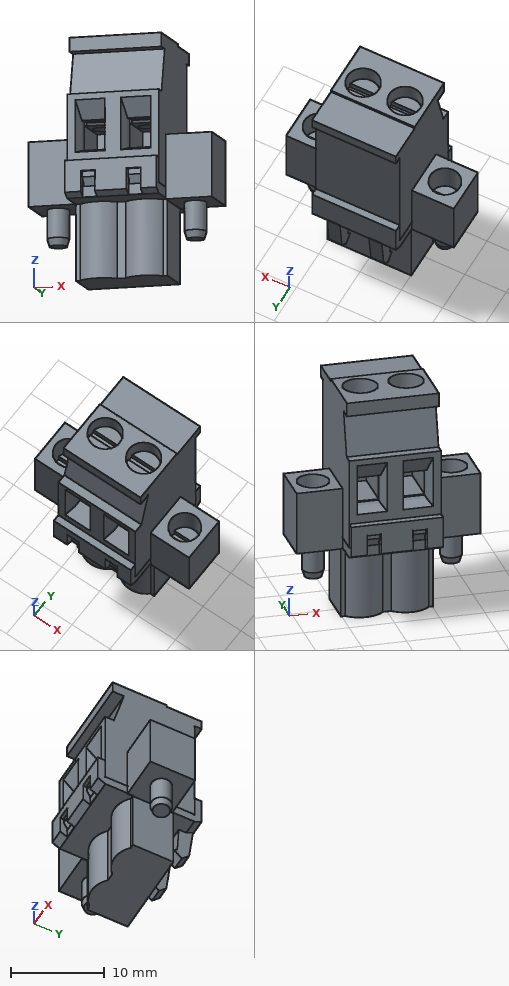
import cadquery as cq


OVERALL_WIDTH = 20.33
HEIGHT = 26
DEPTH = 12.6
PITCH = 5.07
POLES = 2
BODY_WIDTH = 10.17
HALF_WIDTH = BODY_WIDTH / 2
BACK_Y = DEPTH / 2
POLE_XS = [(i - (POLES - 1) / 2) * PITCH for i in range(POLES)]

LIP_WALL = 0.85
BASE_BOTTOM_Z = 8.32
TRAY_FLOOR_Z = 9.52
LIP_TOP_Z = 12.27
BASE_CHAMFER_RUN = 0.9
BASE_CHAMFER_RISE = 0.5
PLUG_BACK_Y = 2.85
PLUG_FLAT_Y = -2.05
BARREL_WIDTH = 4.13
BARREL_BULGE = 0.85
LIP_SLOT_WIDTH = 1.55
LIP_SLOT_TOP_Z = 11.08
LATCH_WIDTH = LIP_SLOT_WIDTH
LATCH_ROOT_OUTER = 0.08
LATCH_ROOT_INNER = 1.82
LATCH_SHOULDER = (0.55, 4.63)
LATCH_TIP = (1.45, 3.67)
LATCH_HOOK = (2.37, 4.5)
LATCH_NECK = (2.0, 4.95)

HOUSING_BACK_Y = BACK_Y - LIP_WALL
HOUSING_FRONT_Y = -HOUSING_BACK_Y
TOP_STEP = 0.25
TOP_STEP_FROM_BACK = 4.25
CAP_BOTTOM_Z = 24.47
CAP_FRONT_Y = -4.52
SLOPE_TOP_Y = -3.15
SLOPE_BOTTOM_Y = -4.37
LEDGE_Z = 19.65
NOSE_WIDTH = 1.4
NOSE_REACH = 0.47
NOSE_FACE_BOTTOM_Z = 10.45

FUNNEL_WIDTH = 3.3
FUNNEL_BOTTOM_Z = 13.29
FUNNEL_TOP_Z = 18.98
FUNNEL_DEPTH = 1.35
THROAT_WIDTH = 2.57
THROAT_BOTTOM_Z = 13.7
THROAT_TOP_Z = 16.98
THROAT_DEPTH = 0.85
THROAT_BACK_Y = HOUSING_FRONT_Y + FUNNEL_DEPTH + THROAT_DEPTH

TERMINAL_Y = -0.47
TERMINAL_HOLE_DIAMETER = 3.8
TERMINAL_HEAD_DIAMETER = 3.75
TERMINAL_HEAD_ROUND = 0.29
TERMINAL_HEAD_TOP_Z = 24.28
TERMINAL_HEAD_HEIGHT = 1.66
TERMINAL_SEAT_Z = TERMINAL_HEAD_TOP_Z - TERMINAL_HEAD_HEIGHT
TERMINAL_SHANK_DIAMETER = 2.2
SCREW_SLOT_WIDTH = 0.7
SCREW_SLOT_DEPTH = 0.65

CLAMP_GAP = 0.29
CLAMP_WALL = 0.5
CLAMP_OPENING_WIDTH = 2.7
CLAMP_OPENING_TOP_Z = 16.65
CLAMP_WIDTH = CLAMP_OPENING_WIDTH + 2 * CLAMP_WALL
CLAMP_BOTTOM_Z = THROAT_BOTTOM_Z - CLAMP_WALL
CLAMP_TOP_Z = 17.95
CLAMP_FRONT_Y = THROAT_BACK_Y + CLAMP_GAP
CLAMP_BACK_Y = 2 * TERMINAL_Y - CLAMP_FRONT_Y
LEAD_IN_WIDTH = 2.25
LEAD_IN_HEIGHT = 0.29
LEAD_IN_DEPTH = 0.23

FLANGE_WIDTH = (OVERALL_WIDTH - BODY_WIDTH) / 2
FLANGE_DEPTH = 5.43
FLANGE_BOTTOM_Z = 8.22
FLANGE_TOP_Z = 15.25
FLANGE_X = HALF_WIDTH + FLANGE_WIDTH / 2
MOUNT_HOLE_DIAMETER = 3.5
MOUNT_HEAD_DIAMETER = 3.35
MOUNT_HEAD_TOP_Z = 12.15
MOUNT_HEAD_HEIGHT = 1.3
MOUNT_SEAT_Z = MOUNT_HEAD_TOP_Z - MOUNT_HEAD_HEIGHT
MOUNT_SHANK_DIAMETER = 2.4
MOUNT_TIP_DIAMETER = 1.87
MOUNT_TIP_LENGTH = 0.8
MOUNT_BOTTOM_Z = 4.25


def box(x_center, width, y_min, y_max, z_min, z_max):
    """Block centred on x_center, between the given Y and Z limits."""
    return (
        cq.Workplane("XY")
        .box(width, y_max - y_min, z_max - z_min, centered=(True, False, False))
        .translate((x_center, y_min, z_min))
    )


def cylinder(x, y, diameter, z_min, z_max):
    """Upright cylinder between two heights."""
    return cq.Workplane("XY", origin=(x, y, z_min)).circle(diameter / 2).extrude(z_max - z_min)


def side_prism(x_center, width, points):
    """Prism along X over a (Y, Z) outline, centred on x_center."""
    return (
        cq.Workplane("YZ", origin=(x_center, 0, 0)).polyline(points).close().extrude(width / 2, both=True)
    )


def make_tray():
    """U-shaped tray, open at both ends in X, with its lower long edges chamfered."""
    chamfer_y = BACK_Y - BASE_CHAMFER_RUN
    chamfer_z = BASE_BOTTOM_Z + BASE_CHAMFER_RISE
    outline = [
        (chamfer_y, BASE_BOTTOM_Z),
        (BACK_Y, chamfer_z),
        (BACK_Y, LIP_TOP_Z),
        (HOUSING_BACK_Y, LIP_TOP_Z),
        (HOUSING_BACK_Y, TRAY_FLOOR_Z),
        (HOUSING_FRONT_Y, TRAY_FLOOR_Z),
        (HOUSING_FRONT_Y, LIP_TOP_Z),
        (-BACK_Y, LIP_TOP_Z),
        (-BACK_Y, chamfer_z),
        (-chamfer_y, BASE_BOTTOM_Z),
    ]
    return side_prism(0, BODY_WIDTH, outline)


def make_plug():
    """Plug block whose front bulges in one arc per pole."""
    outline = cq.Workplane("XY").moveTo(-HALF_WIDTH, PLUG_BACK_Y).lineTo(-HALF_WIDTH, PLUG_FLAT_Y)
    for x in POLE_XS:
        outline = outline.lineTo(x - BARREL_WIDTH / 2, PLUG_FLAT_Y)
        outline = outline.threePointArc(
            (x, PLUG_FLAT_Y - BARREL_BULGE), (x + BARREL_WIDTH / 2, PLUG_FLAT_Y)
        )
    outline = outline.lineTo(HALF_WIDTH, PLUG_FLAT_Y).lineTo(HALF_WIDTH, PLUG_BACK_Y).close()
    return outline.extrude(BASE_BOTTOM_Z)


def make_latch(x):
    """Hooked latch arm hanging from the back edge of the tray."""
    root_z = BASE_BOTTOM_Z + BASE_CHAMFER_RISE
    profile = [
        (LATCH_ROOT_OUTER, root_z),
        LATCH_SHOULDER,
        LATCH_TIP,
        LATCH_HOOK,
        LATCH_NECK,
        (LATCH_ROOT_INNER, BASE_BOTTOM_Z),
        (LATCH_ROOT_INNER, root_z),
    ]
    return side_prism(x, LATCH_WIDTH, [(BACK_Y - inset, z) for inset, z in profile])


def make_base():
    base = make_tray().union(make_plug())
    for x in POLE_XS:
        base = base.union(make_latch(x))
        base = base.cut(box(x, LIP_SLOT_WIDTH, -BACK_Y, HOUSING_FRONT_Y, BASE_BOTTOM_Z, LIP_SLOT_TOP_Z))
    return base


def make_housing_block():
    outline = [
        (HOUSING_BACK_Y, TRAY_FLOOR_Z),
        (HOUSING_BACK_Y, CAP_BOTTOM_Z),
        (BACK_Y, CAP_BOTTOM_Z),
        (BACK_Y, HEIGHT - TOP_STEP),
        (BACK_Y - TOP_STEP_FROM_BACK, HEIGHT - TOP_STEP),
        (BACK_Y - TOP_STEP_FROM_BACK, HEIGHT),
        (CAP_FRONT_Y, HEIGHT),
        (CAP_FRONT_Y, CAP_BOTTOM_Z),
        (SLOPE_TOP_Y, CAP_BOTTOM_Z),
        (SLOPE_BOTTOM_Y, LEDGE_Z),
        (HOUSING_FRONT_Y, LEDGE_Z),
        (HOUSING_FRONT_Y, TRAY_FLOOR_Z),
    ]
    return side_prism(0, BODY_WIDTH, outline)


def make_nose(x):
    """Snap nose filling the top of a lip slot, tapering back to the front wall below."""
    outline = [
        (HOUSING_FRONT_Y, TRAY_FLOOR_Z),
        (HOUSING_FRONT_Y - NOSE_REACH, NOSE_FACE_BOTTOM_Z),
        (HOUSING_FRONT_Y - NOSE_REACH, LIP_SLOT_TOP_Z),
        (HOUSING_FRONT_Y, LIP_SLOT_TOP_Z),
    ]
    return side_prism(x, NOSE_WIDTH, outline)


def wire_entry(x):
    """Tapered funnel followed by a straight throat."""
    mouth_z = (FUNNEL_BOTTOM_Z + FUNNEL_TOP_Z) / 2
    throat_z = (THROAT_BOTTOM_Z + THROAT_TOP_Z) / 2
    throat_height = THROAT_TOP_Z - THROAT_BOTTOM_Z
    funnel = (
        cq.Workplane("XZ", origin=(x, HOUSING_FRONT_Y, mouth_z))
        .rect(FUNNEL_WIDTH, FUNNEL_TOP_Z - FUNNEL_BOTTOM_Z)
        .workplane(offset=-FUNNEL_DEPTH)
        .center(0, throat_z - mouth_z)
        .rect(THROAT_WIDTH, throat_height)
        .loft(ruled=True)
    )
    throat = box(
        x, THROAT_WIDTH, HOUSING_FRONT_Y + FUNNEL_DEPTH, THROAT_BACK_Y, THROAT_BOTTOM_Z, THROAT_TOP_Z
    )
    return funnel.union(throat)


def make_housing():
    housing = make_housing_block()
    for x in POLE_XS:
        chamber = box(x, CLAMP_WIDTH, THROAT_BACK_Y, CLAMP_BACK_Y, CLAMP_BOTTOM_Z, CLAMP_TOP_Z)
        head_hole = cylinder(x, TERMINAL_Y, TERMINAL_HOLE_DIAMETER, TERMINAL_SEAT_Z, HEIGHT)
        shank_hole = cylinder(x, TERMINAL_Y, TERMINAL_SHANK_DIAMETER, CLAMP_TOP_Z, TERMINAL_SEAT_Z)
        housing = housing.union(make_nose(x))
        for cavity in (wire_entry(x), chamber, head_hole, shank_hole):
            housing = housing.cut(cavity)
    return housing


def make_clamp(x):
    """Rectangular cage open along Y, with a sloped lead-in under its top bar."""
    cage = box(x, CLAMP_WIDTH, CLAMP_FRONT_Y, CLAMP_BACK_Y, CLAMP_BOTTOM_Z, CLAMP_TOP_Z)
    opening = box(
        x, CLAMP_OPENING_WIDTH, CLAMP_FRONT_Y, CLAMP_BACK_Y, THROAT_BOTTOM_Z, CLAMP_OPENING_TOP_Z
    )
    lead_in = side_prism(
        x,
        LEAD_IN_WIDTH,
        [
            (CLAMP_FRONT_Y, CLAMP_OPENING_TOP_Z),
            (CLAMP_FRONT_Y, CLAMP_OPENING_TOP_Z + LEAD_IN_HEIGHT),
            (CLAMP_FRONT_Y + LEAD_IN_DEPTH, CLAMP_OPENING_TOP_Z),
        ],
    )
    screw_hole = cylinder(x, TERMINAL_Y, TERMINAL_SHANK_DIAMETER, CLAMP_OPENING_TOP_Z, CLAMP_TOP_Z)
    return cage.cut(opening).cut(lead_in).cut(screw_hole)


def driver_slot(x, y, head_diameter, head_top_z):
    return box(
        x,
        head_diameter,
        y - SCREW_SLOT_WIDTH / 2,
        y + SCREW_SLOT_WIDTH / 2,
        head_top_z - SCREW_SLOT_DEPTH,
        head_top_z,
    )


def make_terminal_screw(x):
    """Slotted screw with a rounded head rim, ending flush with the clamp's top bar."""
    head = cylinder(x, TERMINAL_Y, TERMINAL_HEAD_DIAMETER, TERMINAL_SEAT_Z, TERMINAL_HEAD_TOP_Z)
    head = head.faces(">Z").edges().fillet(TERMINAL_HEAD_ROUND)
    shank = cylinder(x, TERMINAL_Y, TERMINAL_SHANK_DIAMETER, CLAMP_OPENING_TOP_Z, TERMINAL_SEAT_Z)
    slot = driver_slot(x, TERMINAL_Y, TERMINAL_HEAD_DIAMETER, TERMINAL_HEAD_TOP_Z)
    return head.union(shank).cut(slot)


def make_mounting_screw(x):
    """Slotted flat-headed screw with a tapered tip."""
    tip_inset = (MOUNT_SHANK_DIAMETER - MOUNT_TIP_DIAMETER) / 2
    head = cylinder(x, 0, MOUNT_HEAD_DIAMETER, MOUNT_SEAT_Z, MOUNT_HEAD_TOP_Z)
    shank = cylinder(x, 0, MOUNT_SHANK_DIAMETER, MOUNT_BOTTOM_Z, MOUNT_SEAT_Z)
    shank = shank.faces("<Z").chamfer(MOUNT_TIP_LENGTH, tip_inset)
    return head.union(shank).cut(driver_slot(x, 0, MOUNT_HEAD_DIAMETER, MOUNT_HEAD_TOP_Z))


def make_flange(x):
    """Block beside the housing with a counterbored hole for its mounting screw."""
    block = box(x, FLANGE_WIDTH, -FLANGE_DEPTH / 2, FLANGE_DEPTH / 2, FLANGE_BOTTOM_Z, FLANGE_TOP_Z)
    head_hole = cylinder(x, 0, MOUNT_HOLE_DIAMETER, MOUNT_SEAT_Z, FLANGE_TOP_Z)
    shank_hole = cylinder(x, 0, MOUNT_SHANK_DIAMETER, FLANGE_BOTTOM_Z, MOUNT_SEAT_Z)
    return block.cut(head_hole).cut(shank_hole)


base = make_base()
housing = make_housing()
clamps = [make_clamp(x) for x in POLE_XS]
terminal_screws = [make_terminal_screw(x) for x in POLE_XS]
flanges = [make_flange(side * FLANGE_X) for side in (-1, 1)]
mounting_screws = [make_mounting_screw(side * FLANGE_X) for side in (-1, 1)]

repeated_bodies = clamps + terminal_screws + flanges + mounting_screws
result = cq.Compound.makeCompound(
    [base.val(), housing.val(), *[body.val() for body in repeated_bodies]]
)